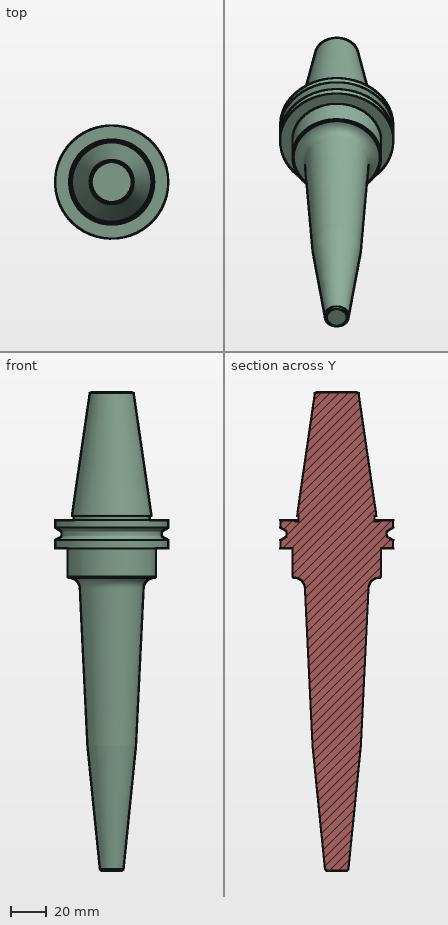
import cadquery as cq
import math

shank_length = 68.5
gauge_radius = 22.3
shank_slope = 7 / 48
shank_edge_radial = 1.0
shank_edge_height = 0.5

land_height = 1.0
neck_radius = 21.5

flange_radius = 63.5 / 2
flange_top = -3.2
recess_radius = 24.0
recess_depth = 0.8
recess_wall_run = 0.8
flange_bottom = -19.0
groove_center = -11.0
groove_half_width = 3.5
groove_root_radius = 28.2
groove_root_fillet = 0.8
groove_flank_angle = math.radians(30)

collar_radius = 25.0
collar_bottom = -35.7
collar_edge = 0.8
blend_radius = 6.0

nose_root_radius = 18.0
nose_middle_radius = 13.7
nose_middle = -130.0
tip_radius = 6.7
tip_edge = 1.0
overall_length = 268.5

shank_end_radius = gauge_radius - shank_slope * shank_length
groove_root_half_width = groove_half_width - (
    (flange_radius - groove_root_radius) * math.tan(groove_flank_angle)
)
tip_bottom = shank_length - overall_length

blend_center_z = collar_bottom - blend_radius
nose_angle = math.atan((nose_root_radius - nose_middle_radius) / (blend_center_z - nose_middle))
blend_center_r = nose_root_radius + blend_radius * math.cos(nose_angle)


def blend_point(angle):
    """Point of the blend arc at the given angle from the outward radial direction."""
    return (
        blend_center_r + blend_radius * math.cos(angle),
        blend_center_z + blend_radius * math.sin(angle),
    )


blend_start_angle = math.pi / 2
blend_end_angle = math.pi - nose_angle
blend_middle_angle = (blend_start_angle + blend_end_angle) / 2

shank_and_flange = (
    cq.Workplane("XZ")
    .moveTo(0, shank_length)
    .lineTo(shank_end_radius - shank_edge_radial, shank_length)
    .lineTo(shank_end_radius + shank_slope * shank_edge_height, shank_length - shank_edge_height)
    .lineTo(gauge_radius, 0)
    .lineTo(gauge_radius, -land_height)
    .lineTo(neck_radius, -land_height)
    .lineTo(neck_radius, flange_top - recess_depth)
    .lineTo(recess_radius - recess_wall_run, flange_top - recess_depth)
    .lineTo(recess_radius, flange_top)
    .lineTo(flange_radius, flange_top)
    .lineTo(flange_radius, groove_center + groove_half_width)
    .lineTo(groove_root_radius, groove_center + groove_root_half_width)
    .lineTo(groove_root_radius, groove_center - groove_root_half_width)
    .lineTo(flange_radius, groove_center - groove_half_width)
    .lineTo(flange_radius, flange_bottom)
)
half_section = (
    shank_and_flange
    .lineTo(collar_radius, flange_bottom)
    .lineTo(collar_radius, collar_bottom + collar_edge)
    .lineTo(collar_radius - collar_edge, collar_bottom)
    .lineTo(*blend_point(blend_start_angle))
    .threePointArc(blend_point(blend_middle_angle), blend_point(blend_end_angle))
    .lineTo(nose_middle_radius, nose_middle)
    .lineTo(tip_radius, tip_bottom + tip_edge)
    .lineTo(tip_radius - tip_edge, tip_bottom)
    .lineTo(0, tip_bottom)
    .close()
)

body = half_section.revolve(360, (0, 0, 0), (0, 1, 0))


def is_groove_root_edge(edge):
    """True for the two circles where the groove flanks meet the groove floor."""
    return math.isclose(edge.radius(), groove_root_radius, abs_tol=0.0003)


result = body.edges("%CIRCLE").filter(is_groove_root_edge).fillet(groove_root_fillet)